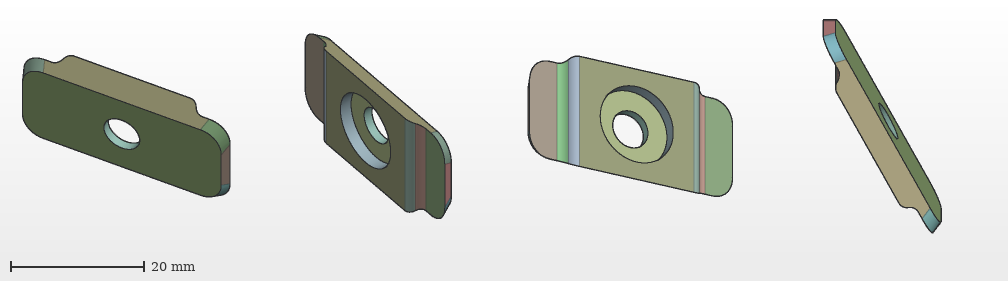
import cadquery as cq
import math

length = 34.7
height = 18.25
thickness = 3.5
end_thickness = 1.75

side_angle = 30.0
end_angle = 20.0
corner_radius = 4.0

bore_diameter = 6.0
recess_diameter = 12.5
web_thickness = 1.5

ramp_radius = 1.63
ramp_middle = 11.2

side_slope = math.tan(math.radians(side_angle))
end_slope = math.tan(math.radians(end_angle))
front_length = length - 2 * end_thickness * end_slope
front_height = height - 2 * thickness * side_slope


def flared_block():
    """Block with sloping walls and rounded corner edges."""
    rear_length = front_length + 2 * thickness * end_slope
    block = (
        cq.Workplane("XZ")
        .rect(front_length, front_height)
        .workplane(offset=-thickness)
        .rect(rear_length, height)
        .loft(ruled=True)
    )
    corner_edges = block.edges("not(<Y or >Y)")
    return corner_edges.fillet(corner_radius)


def stepped_envelope():
    """Bar along Z whose profile falls to the two ends in smooth S-curves."""
    half_drop = (thickness - end_thickness) / 2
    half_run = math.sqrt(ramp_radius**2 - (ramp_radius - half_drop) ** 2)
    ramp_top = ramp_middle - half_run
    ramp_foot = ramp_middle + half_run
    mid_level = end_thickness + half_drop
    half_length = length
    return (
        cq.Workplane("XY")
        .moveTo(-half_length, 0)
        .lineTo(half_length, 0)
        .lineTo(half_length, end_thickness)
        .lineTo(ramp_foot, end_thickness)
        .tangentArcPoint((ramp_middle, mid_level), relative=False)
        .tangentArcPoint((ramp_top, thickness), relative=False)
        .lineTo(-ramp_top, thickness)
        .tangentArcPoint((-ramp_middle, mid_level), relative=False)
        .tangentArcPoint((-ramp_foot, end_thickness), relative=False)
        .lineTo(-half_length, end_thickness)
        .close()
        .extrude(height, both=True)
    )


bore = cq.Workplane("XZ").circle(bore_diameter / 2).extrude(-thickness)

recess = (
    cq.Workplane("XZ", origin=(0, web_thickness, 0))
    .circle(recess_diameter / 2)
    .extrude(web_thickness - thickness)
)

result = flared_block().intersect(stepped_envelope()).cut(bore).cut(recess)